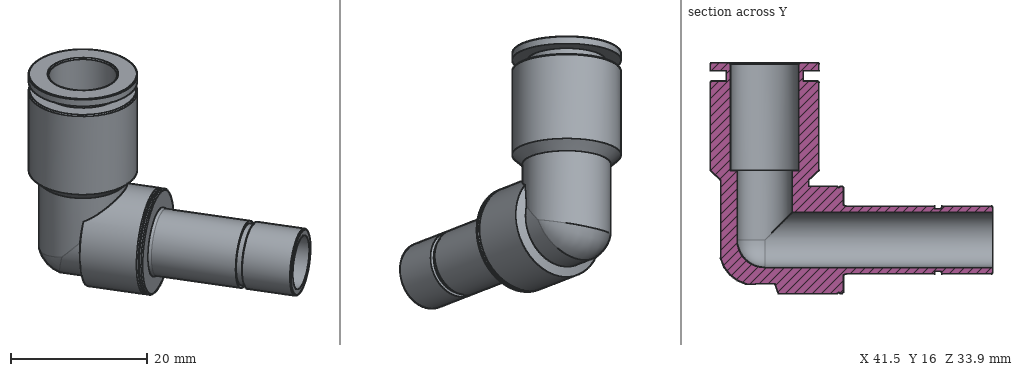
import cadquery as cq
import math


elbow_radius = 13.0 / 2
elbow_length = 9.95
corner_hinge = 1.3
corner_tilt = 15
bore_radius = 8.0 / 2

socket_radius = 16.0 / 2
socket_cone_start = 8.8
socket_cone_end = 10.2
socket_top = 23.32
socket_edge = 0.2

ring_neck_radius = 11.4 / 2
ring_bottom = 24.8
ring_top = 26.0
ring_edge = 0.12
tube_radius = 10.0 / 2
tube_chamfer = 0.2
tube_seat = 10.2

collar_radius = 15.8 / 2
collar_start = 1.5
collar_cone_length = 0.5
collar_end = 11.58
bead_width = 0.5
bead_edge = 0.2

stem_radius = 10.0 / 2
stem_end = 41.5 - socket_radius
stem_edge = 0.15
root_radius = 5.15
root_length = 0.45
groove_radius = 9.2 / 2
groove_start = 25.0
groove_end = 25.8
groove_slope = 0.2


def turn_about_x(profile):
    """Revolve (x, radius) points about the stem axis."""
    return cq.Workplane("XZ").polyline(profile).close().revolve(360, (0, 0), (1, 0))


def turn_about_z(profile):
    """Revolve (radius, z) points about the socket axis."""
    return cq.Workplane("XZ").polyline(profile).close().revolve(360, (0, 0), (0, 1))


def prism_along_y(outline):
    """Extrude an (x, z) outline well past both sides of the elbow."""
    return cq.Workplane("XZ").polyline(outline).close().extrude(2 * elbow_radius, both=True)


def make_rounded_corner():
    """Sweep an oblique section of the upright about the hinge, up to the level leg."""
    tilt = math.radians(corner_tilt)
    section_plane = cq.Plane(
        origin=(-corner_hinge, 0, -corner_hinge),
        xDir=(-math.cos(tilt), 0, -math.sin(tilt)),
        normal=(-math.sin(tilt), 0, math.cos(tilt)),
    )
    long_radius = elbow_radius / math.cos(tilt)
    hinge_from_centre = corner_hinge / math.cos(tilt)
    end_angle = math.degrees(math.acos(hinge_from_centre / long_radius))
    return (
        cq.Workplane(section_plane)
        .center(-hinge_from_centre, 0)
        .ellipseArc(long_radius, elbow_radius, -end_angle, end_angle, startAtCurrent=False)
        .close()
        .revolve(90 - 2 * corner_tilt, (hinge_from_centre, 0), (hinge_from_centre, 1))
    )


def make_elbow():
    """Two mitred cylinders with their outer corner rounded."""
    reach = elbow_length
    upright = cq.Workplane("XY").workplane(offset=-reach).circle(elbow_radius).extrude(2 * reach)
    level = cq.Workplane("YZ").workplane(offset=-reach).circle(elbow_radius).extrude(2 * reach)
    upper_half = prism_along_y([(-reach, -reach), (reach, reach), (-reach, reach)])
    lower_half = prism_along_y([(-reach, -reach), (reach, reach), (reach, -reach)])
    hinge = (-corner_hinge, -corner_hinge)
    drop = (reach - corner_hinge) * math.tan(math.radians(corner_tilt))
    sharp_corner = prism_along_y([
        hinge,
        (-reach, -corner_hinge - drop),
        (-reach, -reach),
        (-corner_hinge - drop, -reach),
    ])
    legs = upright.intersect(upper_half).union(level.intersect(lower_half))
    return legs.cut(sharp_corner).union(make_rounded_corner())


def make_socket():
    """Flared socket with the flanged release ring above it."""
    return turn_about_z([
        (0, socket_cone_start),
        (elbow_radius, socket_cone_start),
        (socket_radius, socket_cone_end),
        (socket_radius, socket_top - socket_edge),
        (socket_radius - socket_edge, socket_top),
        (ring_neck_radius, socket_top),
        (ring_neck_radius, ring_bottom),
        (socket_radius, ring_bottom),
        (socket_radius, ring_top - ring_edge),
        (socket_radius - ring_edge, ring_top),
        (0, ring_top),
    ])


def make_stem():
    """Collar with an end bead, followed by the grooved stem."""
    bead_start = collar_end - bead_width
    return turn_about_x([
        (collar_start, 0),
        (collar_start, elbow_radius),
        (collar_start + collar_cone_length, collar_radius),
        (bead_start - 2 * bead_edge, collar_radius),
        (bead_start - bead_edge, collar_radius - bead_edge),
        (bead_start, collar_radius),
        (collar_end - bead_edge, collar_radius),
        (collar_end, collar_radius - bead_edge),
        (collar_end, root_radius),
        (collar_end + root_length, stem_radius),
        (groove_start, stem_radius),
        (groove_start, groove_radius),
        (groove_end, groove_radius),
        (groove_end + groove_slope, stem_radius),
        (stem_end - stem_edge, stem_radius),
        (stem_end, stem_radius - stem_edge),
        (stem_end, 0),
    ])


def make_passage():
    """Tube seat and fluid bore, turning through a spherical corner."""
    tube_hole = turn_about_z([
        (0, 0),
        (bore_radius, 0),
        (bore_radius, tube_seat),
        (tube_radius, tube_seat),
        (tube_radius, ring_top - tube_chamfer),
        (tube_radius + tube_chamfer, ring_top),
        (0, ring_top),
    ])
    stem_hole = cq.Workplane("YZ").circle(bore_radius).extrude(stem_end)
    return tube_hole.union(stem_hole).union(cq.Workplane("XY").sphere(bore_radius))


result = make_elbow().union(make_socket()).union(make_stem()).cut(make_passage())